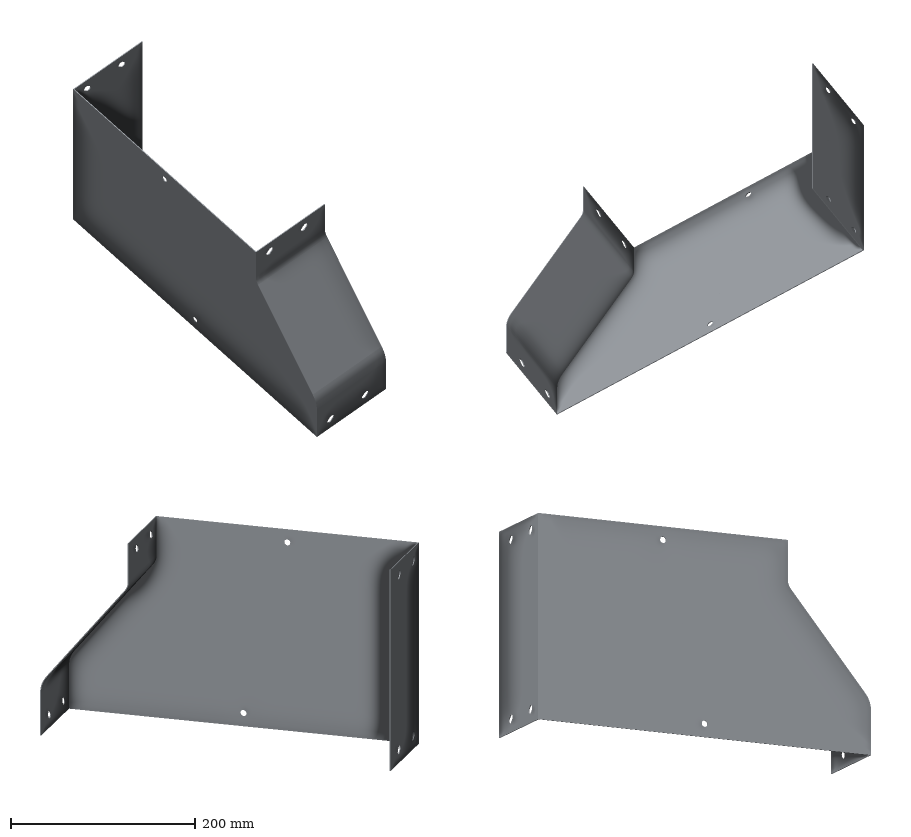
import cadquery as cq

length = 400.0
depth = 100.0
height = 230.0
thickness = 1.0

top_length = 300.0
upper_bend_z = 180.0
lower_bend_z = 60.0
upper_bend_radius = 15.0
lower_bend_radius = 30.0

row_edge_distance = 15.0
row_heights = (row_edge_distance, height - row_edge_distance)
hole_diameter = 7.0
lower_hole_x = length / 2
upper_hole_x = top_length / 2
slot_width = hole_diameter
slot_length = 10.5
slot_tilt = 45.0
slot_depths = (20.0, 70.0)


def outline_block():
    """Solid block with the outline of the front wall, filling the full depth."""
    block = (
        cq.Workplane("XZ")
        .polyline([
            (0, 0),
            (length, 0),
            (length, lower_bend_z),
            (top_length, upper_bend_z),
            (top_length, height),
            (0, height),
        ])
        .close()
        .extrude(-depth)
    )

    def bend_edge(x, z):
        return cq.selectors.NearestToPointSelector((x, depth / 2, z))

    block = block.edges(bend_edge(top_length, upper_bend_z)).fillet(upper_bend_radius)
    return block.edges(bend_edge(length, lower_bend_z)).fillet(lower_bend_radius)


def folded_sheet():
    """Front wall and two side flanges, open at the back, top and bottom."""
    return outline_block().faces(">Y or >Z or <Z").shell(-thickness)


def front_holes():
    """Cutter for the two round holes through the front wall."""
    lower_row, upper_row = row_heights
    return (
        cq.Workplane("XZ")
        .pushPoints([(lower_hole_x, lower_row), (upper_hole_x, upper_row)])
        .circle(hole_diameter / 2)
        .extrude(-depth / 2)
    )


def flange_slots(start_x, end_x, tilt):
    """Cutter for the four tilted slots of one flange, from start_x to end_x."""
    return (
        cq.Workplane("YZ", origin=(start_x, 0, 0))
        .pushPoints([(y, z) for y in slot_depths for z in row_heights])
        .slot2D(slot_length, slot_width, tilt)
        .extrude(end_x - start_x)
    )


left_slots = flange_slots(0, length / 2, -slot_tilt)
right_slots = flange_slots(length / 2, length, slot_tilt)

result = folded_sheet().cut(front_holes()).cut(left_slots).cut(right_slots)